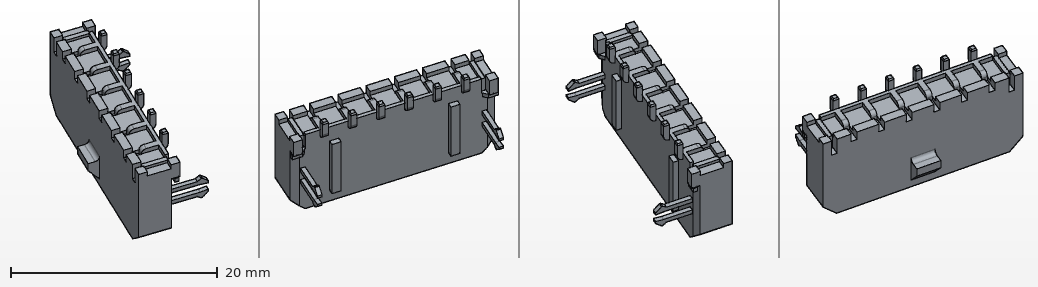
import cadquery as cq


overall_length = 21.95
housing_length = 21.77
housing_depth = 3.82
housing_height = 9.9
corner_x = 1.47
corner_z = 1.45
half_length = housing_length / 2

terminal_count = 6
pitch = 3.0
terminal_size = 0.64
terminal_top = 11.3
terminal_back = 4.43
tip_height = 0.2
tip_inset = 0.09
bend_end = 9.72

front_wall = 0.92
back_wall = 0.4
trough_floor = 9.37
notch_floor = 8.91
rib_front = 1.6
rib_radius = housing_height - trough_floor

standoff_back = 4.37
standoff_width = 0.97
standoff_offset = 6.32
end_block_bottom = 8.01
back_bevel_x = 0.88
back_bevel_y = 0.33

recess_front = 0.45
recess_back = 2.99

clip_offset = 9.65
clip_thickness = 0.48
clip_slot_width = 0.6
clip_front = 0.88
clip_back = 3.55
clip_top = 9.65
clip_length = 7.77
clip_center_z = 4.59
arm_inner = 0.5
arm_outer = 1.0
barb_peak = 1.3
barb_tip_inner = 0.42
barb_tip_outer = 0.7
barb_taper_start = 6.91
barb_start = 6.6
barb_peak_start = 7.0
barb_peak_end = 7.13
tab_front = 3.78
tab_back = 4.24
tab_height = 0.5

latch_width = 2.61
latch_reach = 1.2
latch_ledge = 3.4
latch_fillet = 0.48
latch_ramp_top = 2.44
latch_ramp_bottom = 0.9

terminal_positions = [(i - (terminal_count - 1) / 2) * pitch for i in range(terminal_count)]
end_sides = (-1, 1)


def block(x_range, y_range, z_range):
    """Axis-aligned box between pairs of limits, given in either order."""
    limits = [sorted(pair) for pair in (x_range, y_range, z_range)]
    sizes = [high - low for low, high in limits]
    corner = tuple(low for low, high in limits)
    return cq.Workplane("XY").box(*sizes, centered=False).translate(corner)


def centred(middle, width):
    return middle - width / 2, middle + width / 2


def extrude_along_x(profile, middle, width):
    """Extrude a closed YZ profile by width, centred on X = middle."""
    return profile.extrude(width / 2, both=True).translate((middle, 0, 0))


def housing_shell():
    """Outer block with bevelled lower corners and overhanging end blocks."""
    shell = (
        cq.Workplane("XZ")
        .moveTo(-half_length, housing_height)
        .lineTo(half_length, housing_height)
        .lineTo(half_length, corner_z)
        .lineTo(half_length - corner_x, 0)
        .lineTo(corner_x - half_length, 0)
        .lineTo(-half_length, corner_z)
        .close()
        .extrude(-housing_depth)
    )
    for side in end_sides:
        outer = side * half_length
        bevel = (
            cq.Workplane("XY")
            .moveTo(outer, housing_depth - back_bevel_y)
            .lineTo(outer, housing_depth)
            .lineTo(outer - side * back_bevel_x, housing_depth)
            .close()
            .extrude(end_block_bottom)
        )
        recess = block(
            (outer, outer - side * corner_x), (recess_front, recess_back), (0, corner_z)
        )
        end_block = block(
            (outer, side * (clip_offset + clip_slot_width / 2)),
            (housing_depth - back_bevel_y, standoff_back),
            (end_block_bottom, housing_height),
        )
        standoff = block(
            centred(side * standoff_offset, standoff_width),
            (housing_depth, standoff_back),
            (corner_z, end_block_bottom),
        )
        shell = shell.cut(bevel).cut(recess).union(end_block).union(standoff)
    return shell


def cut_top(body):
    """Cut the trough, then add a rib and cut a front notch at every terminal."""
    trough_back = housing_depth - back_wall
    trough = block(
        (-half_length, half_length), (front_wall, trough_back), (trough_floor, housing_height)
    )
    body = body.cut(trough)
    for x in terminal_positions:
        profile = (
            cq.Workplane("YZ")
            .moveTo(trough_back, trough_floor)
            .lineTo(rib_front, trough_floor)
            .radiusArc((rib_front + rib_radius, housing_height), rib_radius)
            .lineTo(trough_back, housing_height)
            .close()
        )
        rib = extrude_along_x(profile, x, terminal_size)
        notch = block(centred(x, terminal_size), (0, rib_front), (notch_floor, housing_height))
        body = body.union(rib).cut(notch)
    return body


def terminal(x):
    """Square pin that leaves the back wall, bends upward and ends in a tapered tip."""
    tail_front = terminal_back - terminal_size
    leg_bottom = bend_end - terminal_size
    profile = (
        cq.Workplane("YZ")
        .moveTo(housing_depth - back_wall, leg_bottom)
        .lineTo(tail_front, leg_bottom)
        .radiusArc((terminal_back, bend_end), -terminal_size)
        .lineTo(terminal_back, terminal_top - tip_height)
        .lineTo(tail_front, terminal_top - tip_height)
        .lineTo(tail_front, bend_end)
        .lineTo(housing_depth - back_wall, bend_end)
        .close()
    )
    tip_end = terminal_size - 2 * tip_inset
    tip = (
        cq.Workplane("XY", origin=(x, terminal_back - terminal_size / 2, terminal_top - tip_height))
        .rect(terminal_size, terminal_size)
        .workplane(offset=tip_height)
        .rect(tip_end, tip_end)
        .loft()
    )
    return extrude_along_x(profile, x, terminal_size).union(tip)


def clip_slot(side):
    return block(
        centred(side * clip_offset, clip_slot_width),
        (0, standoff_back),
        (end_block_bottom, housing_height),
    )


def barbed_arm(x, direction):
    """Arm above (+1) or below (-1) the clip's mid height, with a barb at its end."""
    outline = [
        (clip_back, arm_inner),
        (barb_taper_start, arm_inner),
        (clip_length, barb_tip_inner),
        (clip_length, barb_tip_outer),
        (barb_peak_end, barb_peak),
        (barb_peak_start, barb_peak),
        (barb_start, arm_outer),
        (clip_back, arm_outer),
    ]
    points = [(y, clip_center_z + direction * rise) for y, rise in outline]
    return extrude_along_x(cq.Workplane("YZ").polyline(points).close(), x, clip_thickness)


def clip(side):
    """Plate standing in the slot, two barbed arms and a side tab under the end block."""
    x = side * clip_offset
    plate = block(
        centred(x, clip_thickness), (clip_front, clip_back), (end_block_bottom, clip_top)
    )
    tab_inner = x - side * clip_thickness / 2
    tab_outer = side * overall_length / 2
    tab = (
        cq.Workplane("XY", origin=(0, 0, end_block_bottom - tab_height))
        .moveTo(tab_inner, tab_front)
        .lineTo(tab_outer, tab_front)
        .lineTo(tab_outer, tab_back)
        .lineTo(x + side * clip_thickness / 2, tab_back)
        .close()
        .extrude(tab_height)
    )
    return plate.union(tab).union(barbed_arm(x, 1)).union(barbed_arm(x, -1))


def latch_ramp():
    """Ramp with a flat ledge on top, blended into the front wall by a concave fillet."""
    profile = (
        cq.Workplane("YZ")
        .moveTo(0, latch_ramp_bottom)
        .lineTo(-latch_reach, latch_ramp_top)
        .lineTo(-latch_reach, latch_ledge)
        .lineTo(-latch_fillet, latch_ledge)
        .radiusArc((0, latch_ledge + latch_fillet), -latch_fillet)
        .close()
    )
    return extrude_along_x(profile, 0, latch_width)


result = cut_top(housing_shell()).union(latch_ramp())
for x in terminal_positions:
    result = result.union(terminal(x))
for side in end_sides:
    result = result.cut(clip_slot(side)).union(clip(side))